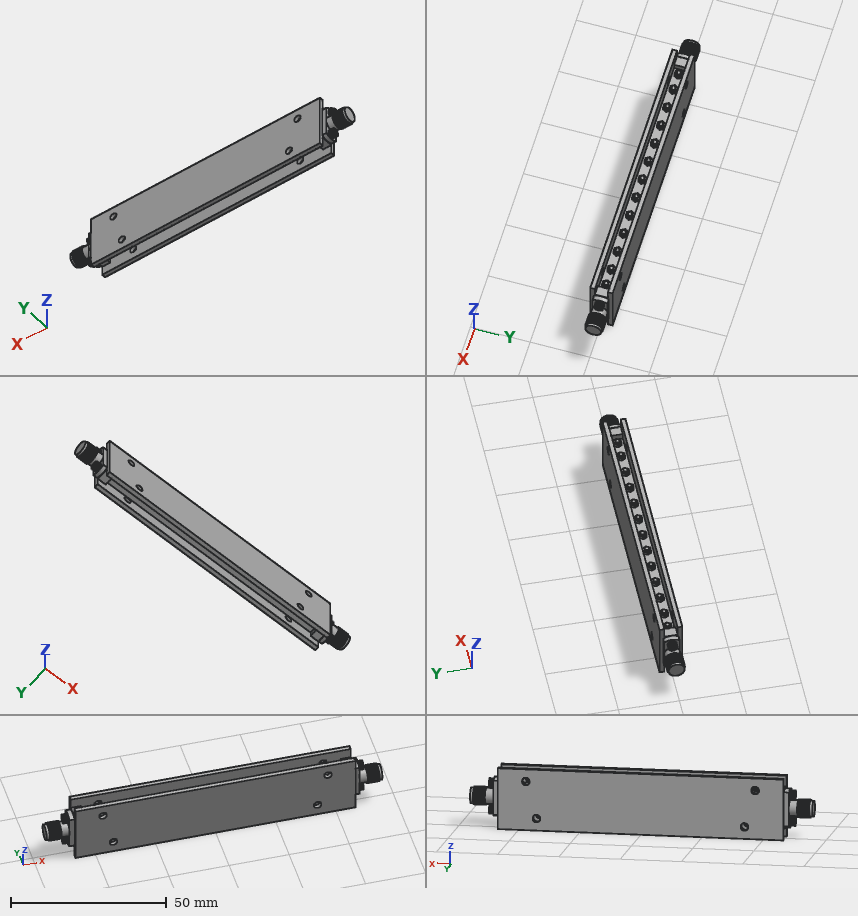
import cadquery as cq
import math

total_length = 111.8

housing_length = 93.2
housing_width = 7.5
housing_height = 20.0
plate_thickness = 1.6
lug_length = 3.4
lug_height = 13.1
web_height = 8.9

hole_diameter = 2.5
hole_z = 6.0
upper_hole_x = 37.5
lower_hole_x = 34.0

screw_pitch = 7.0
evenly_spaced_screws = 11
end_screw_x = 41.1
lock_nut_corners = 2.9
lock_nut_height = 1.0
tuning_screw_diameter = 1.5
tuning_screw_height = 1.6

flange_height = 12.7
flange_crown = 0.8
flange_width = 5.0
flange_thickness = 1.7
barrel_diameter = 5.3
coupling_diameter = 5.9
coupling_length = 3.9
nose_length = 1.0
coupling_teeth = 40
coupling_tooth_depth = 0.28
flange_screw_z = 4.4
head_diameter = 3.0
head_height = 1.7
head_teeth = 20
head_tooth_depth = 0.2
slot_length = 1.9
slot_width = 0.5
slot_depth = 0.7

housing_end = housing_length / 2
channel_width = housing_width - 2 * plate_thickness
web_top = web_height / 2
flange_face = housing_end + flange_thickness
connector_end = total_length / 2
coupling_end = connector_end - nose_length
coupling_start = coupling_end - coupling_length


def make_plates_and_web():
    """H-shaped bar: two plates joined by a web with a taller lug at each end."""
    block = cq.Workplane("XY").box(housing_length, housing_width, housing_height)
    lug_channel_depth = (housing_height - lug_height) / 2
    web_channel_depth = (housing_height - web_height) / 2
    web_channel_length = housing_length - 2 * lug_length
    for side in (1, -1):
        lug_channel = cq.Workplane("XY").box(housing_length, channel_width, lug_channel_depth)
        lug_channel_z = side * (lug_height + lug_channel_depth) / 2
        block = block.cut(lug_channel.translate((0, 0, lug_channel_z)))

        web_channel = cq.Workplane("XY").box(web_channel_length, channel_width, web_channel_depth)
        web_channel_z = side * (web_height + web_channel_depth) / 2
        block = block.cut(web_channel.translate((0, 0, web_channel_z)))
    return block


def make_mounting_holes():
    """Four cylinders running through both plates along Y."""
    centers = [
        (-upper_hole_x, hole_z),
        (upper_hole_x, hole_z),
        (-lower_hole_x, -hole_z),
        (lower_hole_x, -hole_z),
    ]
    plane = cq.Workplane("XZ").pushPoints(centers)
    return plane.circle(hole_diameter / 2).extrude(housing_width / 2, both=True)


def tuning_screw_centers():
    """Evenly spaced row along X, plus one closer screw at each end."""
    middle = (evenly_spaced_screws - 1) / 2
    row = [(i - middle) * screw_pitch for i in range(evenly_spaced_screws)]
    return [(x, 0) for x in [-end_screw_x, *row, end_screw_x]]


def make_housing():
    housing = make_plates_and_web().cut(make_mounting_holes())
    web_plane = cq.Workplane("XY").workplane(offset=web_top).pushPoints(tuning_screw_centers())
    lock_nuts = web_plane.polygon(6, lock_nut_corners).extrude(lock_nut_height)
    tuning_screws = web_plane.circle(tuning_screw_diameter / 2).extrude(tuning_screw_height)
    return housing.union(lock_nuts).union(tuning_screws)


def x_plane(x):
    """Workplane facing +X at the given place along X; local x is Y and local y is Z."""
    return cq.Workplane("YZ").workplane(offset=x)


def make_knurled_disc(start, length, diameter, teeth, tooth_depth):
    """Disc along X with straight V-shaped teeth around its rim."""
    tip_radius = diameter / 2
    root_radius = tip_radius - tooth_depth
    points = []
    for i in range(2 * teeth):
        radius = tip_radius if i % 2 == 0 else root_radius
        angle = math.pi * i / teeth
        points.append((radius * math.cos(angle), radius * math.sin(angle)))
    return x_plane(start).polyline(points).close().extrude(length)


def make_flange():
    """Narrow plate with straight sides and crowned upper and lower ends."""
    side_y = flange_width / 2
    top_z = flange_height / 2
    corner_z = top_z - flange_crown
    outline = x_plane(housing_end).moveTo(-side_y, -corner_z)
    outline = outline.threePointArc((0, -top_z), (side_y, -corner_z)).lineTo(side_y, corner_z)
    outline = outline.threePointArc((0, top_z), (-side_y, corner_z)).close()
    return outline.extrude(flange_thickness)


def make_flange_screw():
    """Knurled cap screw head with a cross recess, centered on the X axis."""
    head = make_knurled_disc(flange_face, head_height, head_diameter, head_teeth, head_tooth_depth)
    slot_plane = x_plane(flange_face + head_height)
    head = head.cut(slot_plane.rect(slot_length, slot_width).extrude(-slot_depth))
    return head.cut(slot_plane.rect(slot_width, slot_length).extrude(-slot_depth))


def make_connector():
    """Connector on the +X end, with its barrel along X."""
    barrel = x_plane(flange_face).circle(barrel_diameter / 2).extrude(connector_end - flange_face)
    connector = make_flange().union(barrel)
    coupling = make_knurled_disc(
        coupling_start, coupling_length, coupling_diameter, coupling_teeth, coupling_tooth_depth
    )
    connector = connector.union(coupling)
    for z in (flange_screw_z, -flange_screw_z):
        connector = connector.union(make_flange_screw().translate((0, 0, z)))
    return connector


housing = make_housing()
right_connector = make_connector()
connectors = [right_connector.rotate((0, 0, 0), (0, 0, 1), turn).val() for turn in (0, 180)]

result = cq.Compound.makeCompound([housing.val(), *connectors])